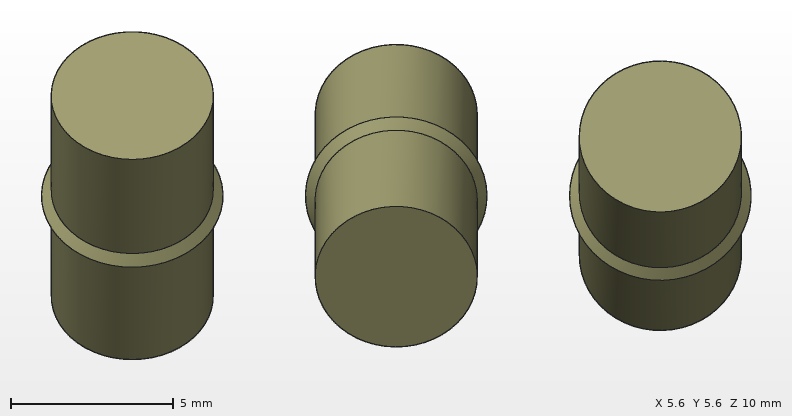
import cadquery as cq

pin_diameter = 5.0
pin_length = 10.0
ridge_diameter = 5.6

pin_radius = pin_diameter / 2
ridge_radius = ridge_diameter / 2
ridge_half_width = ridge_radius - pin_radius
half_length = pin_length / 2


def make_pin():
    """Revolve the half profile (radius, height) about the Z axis."""
    profile = [
        (0, -half_length),
        (pin_radius, -half_length),
        (pin_radius, -ridge_half_width),
        (ridge_radius, 0),
        (pin_radius, ridge_half_width),
        (pin_radius, half_length),
        (0, half_length),
    ]
    return cq.Workplane("XZ").polyline(profile).close().revolve(360, (0, 0, 0), (0, 1, 0))


result = make_pin()